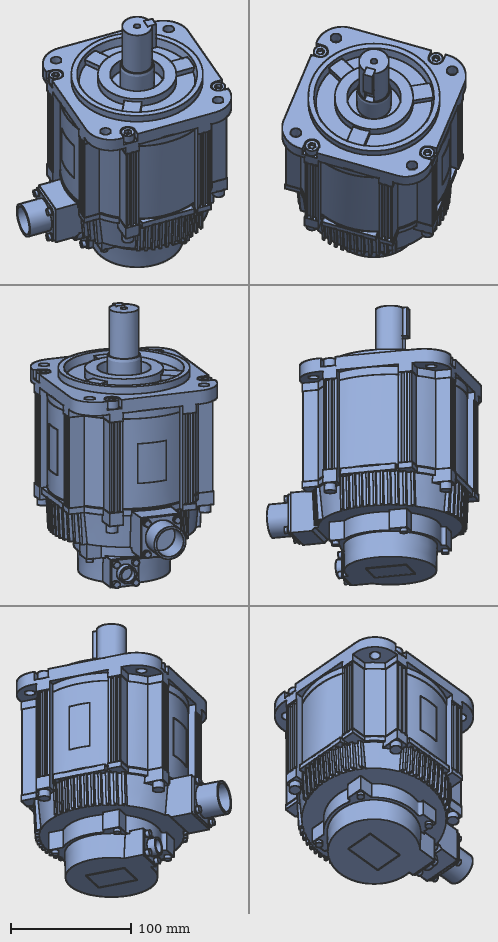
import cadquery as cq
import math


total_height = 228.5
rear_face_z = 0.7
encoder_flange_z = 22.6
bell_bottom_z = 38.9
rear_bolt_z = 54.9
rear_lug_z = 61.3
end_plate_z = 67.5
tube_bottom_z = 72.7
tube_seam_z = 73.4
tube_top_z = 151.8
flange_bottom_z = 158.9
flange_top_z = 170.5
pilot_top_z = 177.0
shoulder_z = 185.6
shoulder_top_z = 188.4

flange_size = 130.0
flange_half = flange_size / 2
flange_corner_radius = 22.5
mount_hole_offset = 51.2
mount_hole_diameter = 9.0
pilot_radius = 54.9
recess_top_radius = 50.0
recess_floor_radius = 48.2
recess_depth = 7.5
boss_radius = 32.7
boss_bore_radius = 22.5
boss_bore_depth = 11.5
rib_width = 14.9
rib_drop = 3.0

screw_side_offset = 34.3
screw_edge_offset = 59.0
screw_pocket_width = 12.5
screw_pocket_depth = 7.5
screw_head_diameter = 11.2
screw_head_drop = 0.5
screw_socket_width = 5.5
screw_socket_depth = 3.5
rear_bolt_diameter = 9.8

tube_radius = 64.0
tube_half = 64.5
seam_radius = 63.3
end_radius = 64.2
pad_inner = 26.7
pad_outer = 38.5
end_pad_outer = 38.9
pad_root = 47.5
groove_depth = 2.5
grooves = [(29.0, 2.7), (33.8, 3.0)]
label_thickness = 0.2
front_label_width = 25.5
front_label_bottom_z = 95.3
front_label_height = 34.5
side_label_width = 19.0
side_label_bottom_z = 92.8
side_label_height = 39.8
end_flat_width = 47.5
end_flat_half = 64.5

bell_top_radius = 62.5
bell_bottom_radius = 60.1
fin_top_radius = 65.0
fin_bottom_radius = 63.5
fin_thickness = 2.0
fin_count = 11
first_fin_offset = -24.5
last_fin_offset = 35.7
fins_beside_connector = 3
fin_pitch = (last_fin_offset - first_fin_offset) / (fin_count - 1)

encoder_radius = 42.0
encoder_lug_half = 44.5
encoder_lug_inner = 12.8
encoder_lug_outer = 28.0
encoder_lug_fillet = 2.3
encoder_bolt_side_offset = 24.0
encoder_bolt_edge_offset = 40.5
encoder_bolt_radius = 3.0
encoder_bolt_height = 3.2
cover_top_radius = 39.0
cover_bottom_radius = 38.5
rear_label_length = 35.2

connector_bolt_diameter = 5.7
connector_bolt_height = 3.7
power_size = 35.2
power_plate_size = 34.7
power_plate_corner_radius = 3.5
power_washer_diameter = 6.2
power_washer_thickness = 1.0
power_bottom_z = 36.1
power_block_y = -81.5
power_plate_thickness = 2.3
power_end_y = flange_size / 2 - 168.5
power_tube_radius = 14.2
power_bore_radius = 12.1
power_bolt_offset = 13.5
power_relief = 2.7
encoder_connector_x = -16.5
encoder_connector_width = 25.4
encoder_connector_height = 24.2
encoder_plug_z = 12.3
encoder_plate_corner_radius = 1.1
encoder_block_y = -42.5
encoder_plate_thickness = 1.1
encoder_plate_size = 23.8
encoder_end_y = -50.7
encoder_tube_radius = 7.5
encoder_bore_radius = 6.0
encoder_connector_bolt_offset = 8.7

shaft_diameter = 25.0
shoulder_radius = 14.2
shoulder_top_radius = 13.5
centre_hole_diameter = 5.3
centre_hole_depth = 9.1
key_width = 8.0
key_inner = 7.8
key_outer = 15.5
key_length = 25.0


def cylinder(radius, bottom, top, x=0.0, y=0.0):
    return cq.Workplane("XY").workplane(offset=bottom).center(x, y).circle(radius).extrude(top - bottom)


def cone(bottom_radius, top_radius, bottom, top):
    solid = cq.Solid.makeCone(bottom_radius, top_radius, top - bottom, cq.Vector(0, 0, bottom))
    return cq.Workplane(solid)


def block(x0, x1, y0, y1, z0, z1):
    return cq.Workplane("XY").box(x1 - x0, y1 - y0, z1 - z0, centered=False).translate((x0, y0, z0))


def quarter_turns(shape):
    """The shape and its three copies a quarter turn apart about the motor axis."""
    return [shape.rotate((0, 0, 0), (0, 0, 1), 90 * quarter) for quarter in range(4)]


def add_all(body, shapes):
    for shape in shapes:
        body = body.union(shape)
    return body


def cut_all(body, shapes):
    for shape in shapes:
        body = body.cut(shape)
    return body


def pads(reach, outer, bottom, top):
    """Eight pads, two on each side, reaching out to flat side faces."""
    low_pad = block(-outer, -pad_inner, -reach, -pad_root, bottom, top)
    high_pad = block(pad_inner, outer, -reach, -pad_root, bottom, top)
    return quarter_turns(low_pad) + quarter_turns(high_pad)


def make_tube():
    tube = cylinder(tube_radius, tube_seam_z, tube_top_z)
    tube = tube.union(cylinder(seam_radius, tube_bottom_z, tube_seam_z))
    tube = add_all(tube, pads(tube_half, pad_outer, tube_bottom_z, tube_top_z))
    floor = groove_depth - tube_half
    for near_edge, width in grooves:
        far_edge = near_edge + width
        for start, end in [(near_edge, far_edge), (-far_edge, -near_edge)]:
            groove = block(start, end, -flange_half, floor, tube_bottom_z, tube_top_z)
            tube = cut_all(tube, quarter_turns(groove))
    return tube


def make_labels():
    """Thin name plates wrapped on the -Y and -X faces of the tube."""
    reach = tube_radius + label_thickness
    half_front = front_label_width / 2
    front_top_z = front_label_bottom_z + front_label_height
    front = block(-half_front, half_front, -flange_half, 0, front_label_bottom_z, front_top_z)
    half_side = side_label_width / 2
    side_top_z = side_label_bottom_z + side_label_height
    side = block(-flange_half, 0, -half_side, half_side, side_label_bottom_z, side_top_z)
    return cylinder(reach, tube_bottom_z, tube_top_z).intersect(front.union(side))


def make_flange():
    plate = cq.Workplane("XY").workplane(offset=flange_bottom_z)
    plate = plate.rect(flange_size, flange_size).extrude(flange_top_z - flange_bottom_z)
    plate = plate.edges("|Z").fillet(flange_corner_radius)
    hole_radius = mount_hole_diameter / 2
    hole = cylinder(hole_radius, flange_bottom_z, flange_top_z, mount_hole_offset, mount_hole_offset)
    plate = cut_all(plate, quarter_turns(hole))
    plate = plate.union(cylinder(end_radius, tube_top_z, flange_bottom_z))
    return add_all(plate, pads(flange_half, end_pad_outer, tube_top_z, flange_bottom_z))


def make_pilot():
    """Pilot ring and its tapered recess with a centre boss and three ribs."""
    floor_z = pilot_top_z - recess_depth
    recess = cone(recess_floor_radius, recess_top_radius, floor_z, pilot_top_z)
    boss = cylinder(boss_radius, floor_z, pilot_top_z)
    half_rib = rib_width / 2
    rib = block(-half_rib, half_rib, 0, recess_top_radius, floor_z, pilot_top_z - rib_drop)
    for turn in range(3):
        boss = boss.union(rib.rotate((0, 0, 0), (0, 0, 1), 120 * turn))
    recess = recess.cut(boss)
    bore = cylinder(boss_bore_radius, pilot_top_z - boss_bore_depth, pilot_top_z)
    return cylinder(pilot_radius, flange_top_z, pilot_top_z), recess.union(bore)


def add_clamping_screws(body):
    """Socket screws in pockets open to the flange sides."""
    x = -screw_side_offset
    y = -screw_edge_offset
    floor_z = flange_top_z - screw_pocket_depth
    half_pocket = screw_pocket_width / 2
    pocket = cylinder(half_pocket, floor_z, flange_top_z, x, y)
    opening = block(x - half_pocket, x + half_pocket, -flange_half, y, floor_z, flange_top_z)
    body = cut_all(body, quarter_turns(pocket.union(opening)))
    head_top_z = flange_top_z - screw_head_drop
    head = cylinder(screw_head_diameter / 2, floor_z, head_top_z, x, y)
    socket = cq.Workplane("XY").workplane(offset=head_top_z).center(x, y)
    socket = socket.polygon(6, screw_socket_width / math.cos(math.pi / 6)).extrude(-screw_socket_depth)
    return add_all(body, quarter_turns(head.cut(socket)))


def make_end_plate():
    """Plate under the tube, flat on three sides, with four deeper lugs that carry the rear bolt heads."""
    half_flat = end_flat_width / 2
    plate = cylinder(end_radius, end_plate_z, tube_bottom_z)
    flat = block(-half_flat, half_flat, -end_flat_half, 0, end_plate_z, tube_bottom_z)
    plate = add_all(plate, quarter_turns(flat)[1:])
    plate = add_all(plate, pads(flange_half, end_pad_outer, end_plate_z, tube_bottom_z))
    lug = block(-end_pad_outer, -pad_inner, -flange_half, -pad_root, rear_lug_z, end_plate_z)
    bolt = cylinder(rear_bolt_diameter / 2, rear_bolt_z, rear_lug_z, -screw_side_offset, -screw_edge_offset)
    return add_all(plate, quarter_turns(lug.union(bolt)))


def make_bell():
    """Tapered bell with cooling fins, which end short of the power connector on the -Y side."""
    bell = cone(bell_bottom_radius, bell_top_radius, bell_bottom_z, end_plate_z)
    envelope = cone(fin_bottom_radius, fin_top_radius, bell_bottom_z, end_plate_z)
    fins = []
    for index in range(fin_count):
        start = first_fin_offset + index * fin_pitch - fin_thickness / 2
        fin = block(start, start + fin_thickness, -flange_half, -pad_root / 2, bell_bottom_z, end_plate_z)
        beside_connector = index >= fin_count - fins_beside_connector
        turns = quarter_turns(fin) if beside_connector else quarter_turns(fin)[1:]
        fins.extend(turns)
    return add_all(bell, [fin.intersect(envelope) for fin in fins])


def make_encoder_housing():
    neck = cylinder(encoder_radius, encoder_flange_z, bell_bottom_z)
    lug = block(
        encoder_lug_inner, encoder_lug_outer, -encoder_lug_half, 0, encoder_flange_z, bell_bottom_z
    )
    lug_root_y = -math.sqrt(encoder_radius**2 - encoder_lug_inner**2)
    lug_root = cq.selectors.NearestToPointSelector(
        (encoder_lug_inner, lug_root_y, (encoder_flange_z + bell_bottom_z) / 2)
    )
    lug = neck.union(lug).edges(lug_root).fillet(encoder_lug_fillet)
    bolt = cylinder(
        encoder_bolt_radius,
        encoder_flange_z - encoder_bolt_height,
        encoder_flange_z,
        encoder_bolt_side_offset,
        -encoder_bolt_edge_offset,
    )
    neck = add_all(neck, quarter_turns(lug.union(bolt)))
    neck = neck.union(cone(cover_bottom_radius, cover_top_radius, rear_face_z, encoder_flange_z))
    half_label = front_label_width / 2
    half_length = rear_label_length / 2
    return neck.union(block(-half_label, half_label, -half_length, half_length, 0, rear_face_z))


def y_cylinder(radius, x, z, y_start, y_end):
    """Cylinder along Y from y_start towards -Y."""
    disc = cq.Workplane("XZ", origin=(0, y_start, 0)).center(x, z).circle(radius)
    return disc.extrude(y_start - y_end)


def plug_bolt_places(x, z, offset):
    """X and Z of four bolts in a square around the plug axis."""
    return [(x + side * offset, z + level * offset) for side in (-1, 1) for level in (-1, 1)]


def make_plug(
    x, z, plate_size, corner_radius, block_y, plate_thickness, bolt_offset, tube_radius, bore_radius, end_y
):
    """Connector front: square plate with rounded corners, four bolt heads and an open tube."""
    half = plate_size / 2
    plate_y = block_y - plate_thickness
    plug = block(x - half, x + half, plate_y, block_y, z - half, z + half)
    plug = plug.edges("|Y").fillet(corner_radius)
    for bolt_x, bolt_z in plug_bolt_places(x, z, bolt_offset):
        bolt_end_y = plate_y - connector_bolt_height
        plug = plug.union(y_cylinder(connector_bolt_diameter / 2, bolt_x, bolt_z, plate_y, bolt_end_y))
    plug = plug.union(y_cylinder(tube_radius, x, z, plate_y, end_y))
    return plug.cut(y_cylinder(bore_radius, x, z, plate_y, end_y))


def make_power_connector():
    half = power_size / 2
    inner_y = -bell_bottom_radius
    outline = [
        (0, bell_bottom_z),
        (inner_y, bell_bottom_z),
        (inner_y - power_relief, power_bottom_z),
        (power_block_y, power_bottom_z),
        (power_block_y, power_bottom_z + power_size),
        (0, power_bottom_z + power_size),
    ]
    body = cq.Workplane("YZ", origin=(-half, 0, 0)).polyline(outline).close().extrude(power_size)
    plug_z = power_bottom_z + half
    body = body.union(
        make_plug(
            0, plug_z, power_plate_size, power_plate_corner_radius, power_block_y,
            power_plate_thickness, power_bolt_offset, power_tube_radius, power_bore_radius, power_end_y,
        )
    )
    washer_y = power_block_y - power_plate_thickness
    washer_end_y = washer_y - power_washer_thickness
    bore = y_cylinder(power_bore_radius, 0, plug_z, washer_y, power_end_y)
    for x, z in plug_bolt_places(0, plug_z, power_bolt_offset):
        washer = y_cylinder(power_washer_diameter / 2, x, z, washer_y, washer_end_y)
        body = body.union(washer.cut(bore))
    return body


def make_encoder_connector():
    half = encoder_connector_width / 2
    x = encoder_connector_x
    top_z = rear_face_z + encoder_connector_height
    body = block(x - half, x + half, encoder_block_y, 0, rear_face_z, top_z)
    return body.union(
        make_plug(
            x, encoder_plug_z, encoder_plate_size, encoder_plate_corner_radius, encoder_block_y,
            encoder_plate_thickness, encoder_connector_bolt_offset, encoder_tube_radius,
            encoder_bore_radius, encoder_end_y,
        )
    )


def make_shaft():
    shaft = cylinder(shaft_diameter / 2, flange_bottom_z, total_height)
    shaft = shaft.union(cylinder(shoulder_radius, flange_bottom_z, shoulder_z))
    shaft = shaft.union(cone(shoulder_radius, shoulder_top_radius, shoulder_z, shoulder_top_z))
    shaft = shaft.cut(cylinder(centre_hole_diameter / 2, total_height - centre_hole_depth, total_height))
    half_key = key_width / 2
    keyway = block(-half_key, half_key, key_inner, key_outer, shoulder_top_z, total_height)
    return shaft.cut(keyway)


def make_key():
    half_key = key_width / 2
    return block(-half_key, half_key, key_inner, key_outer, total_height - key_length, total_height)


def make_motor():
    pilot, recess = make_pilot()
    motor = make_flange().union(pilot).cut(recess)
    motor = add_clamping_screws(motor)
    sections = [make_tube(), make_labels(), make_end_plate(), make_bell(), make_encoder_housing()]
    connectors = [make_power_connector(), make_encoder_connector()]
    return add_all(motor, sections + connectors + [make_shaft()])


motor = make_motor()
key = make_key()

result = cq.Compound.makeCompound([motor.val(), key.val()])